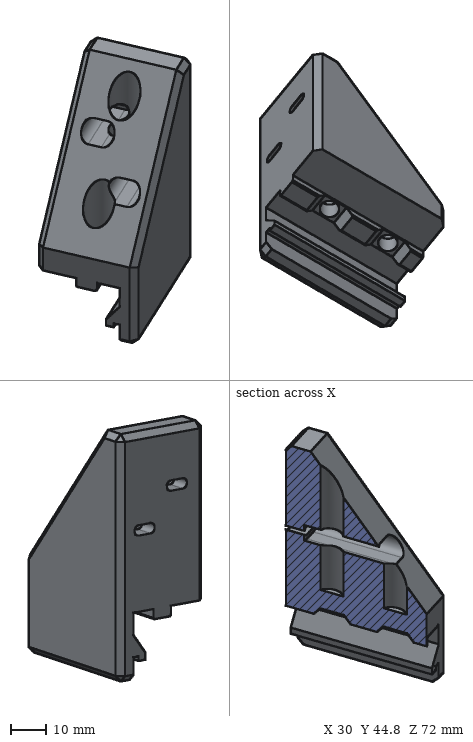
import cadquery as cq

width = 30.0
depth = 44.8
height = 72.0
chamfer = 1.95

top_land = 8.0
front_height = 28.1

body_bottom = 19.95
plate_thickness = 5.0
plate_inner_x = width - plate_thickness

hook_reach = 4.2
hook_top = 13.4
hook_nose_top = 7.7
hook_bottom = 5.6
hook_lip = 2.4
hook_groove_top = 7.0

rail_width = 6.3
rail_height = 3.0
rail_chamfer = 0.4
notch_bottom_width = 11.8
notch_top_width = 7.35
notch_depth = 2.5

screw_x = width / 2
screw_pitch = 20.0
back_screw_y = depth - 14.75
screw_ys = (back_screw_y, back_screw_y - screw_pitch)
screw_diameter = 5.5
head_diameter = 9.0
head_seat_z = body_bottom + 6.0

slot_centers = ((9.9, 54.9), (21.2, 43.6))
slot_length = 7.05
slot_height = 3.0
slot_head_length = 9.8
slot_head_height = 5.8
slot_seat_y = depth - 6.0


def make_wedge():
    """Full-height wedge, chamfered on all outer edges except the two across the slope."""
    outline = [
        (0, 0),
        (depth, 0),
        (depth, height),
        (depth - top_land, height),
        (0, front_height),
    ]
    wedge = cq.Workplane("YZ").polyline(outline).close().extrude(width)
    side_edges = wedge.faces("<X or >X").edges()
    bottom_edges = wedge.faces("<Z").edges("|X")
    top_back_edge = wedge.faces(">Y").edges(">Z")
    return side_edges.add(bottom_edges).add(top_back_edge).chamfer(chamfer)


def make_hook():
    """Latching hook running along the whole clip plate."""
    nose_x = plate_inner_x - hook_reach
    lip_x = nose_x + hook_lip
    root_x = plate_inner_x + plate_thickness / 2
    outline = [
        (root_x, hook_top),
        (plate_inner_x, hook_top),
        (nose_x, hook_nose_top),
        (nose_x, hook_bottom),
        (lip_x, hook_bottom),
        (lip_x, hook_groove_top),
        (root_x, hook_groove_top),
    ]
    return cq.Workplane("XZ").polyline(outline).close().extrude(-depth)


def make_notch(center_y):
    """Trapezoidal gap across the rail, centered on a screw."""
    rail_bottom = body_bottom - rail_height
    outline = [
        (center_y - notch_bottom_width / 2, rail_bottom),
        (center_y - notch_top_width / 2, rail_bottom + notch_depth),
        (center_y + notch_top_width / 2, rail_bottom + notch_depth),
        (center_y + notch_bottom_width / 2, rail_bottom),
    ]
    return cq.Workplane("YZ").polyline(outline).close().extrude(plate_inner_x)


def make_rail():
    """Rail with chamfered lower edges, notched below each screw."""
    rail = (
        cq.Workplane("XY", origin=(screw_x, depth / 2, body_bottom))
        .rect(rail_width, depth)
        .extrude(-rail_height)
        .faces("<Z")
        .edges("|Y")
        .chamfer(rail_chamfer)
    )
    for screw_y in screw_ys:
        rail = rail.cut(make_notch(screw_y))
    return rail


def make_screw_hole(center_y):
    """Vertical through hole with a deep head bore open to the slope."""
    hole = (
        cq.Workplane("XY", origin=(screw_x, center_y, 0))
        .circle(screw_diameter / 2)
        .extrude(height)
    )
    head = (
        cq.Workplane("XY", origin=(screw_x, center_y, head_seat_z))
        .circle(head_diameter / 2)
        .extrude(height - head_seat_z)
    )
    return hole.union(head)


def make_slot(center_x, center_z):
    """Horizontal through slot with a deep head recess open to the slope."""
    plane = cq.Workplane("XZ", origin=(center_x, 0, center_z))
    slot = plane.slot2D(slot_length, slot_height).extrude(-depth)
    recess = plane.slot2D(slot_head_length, slot_head_height).extrude(-slot_seat_y)
    return slot.union(recess)


under_space = cq.Workplane("XY").box(plate_inner_x, depth, body_bottom, centered=False)

result = make_wedge().cut(under_space).union(make_hook()).union(make_rail())
for screw_y in screw_ys:
    result = result.cut(make_screw_hole(screw_y))
for slot_x, slot_z in slot_centers:
    result = result.cut(make_slot(slot_x, slot_z))